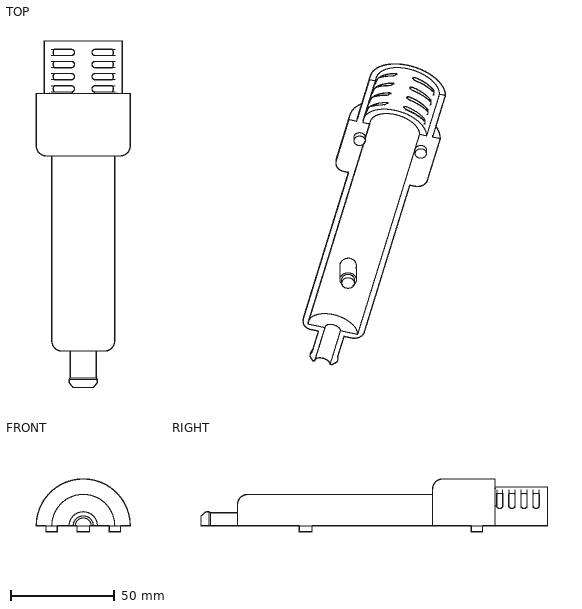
import cadquery as cq
import math


total_length = 168.2
nozzle_length = 17.7
cage_length = 25.4
cage_root = 1.7
collar_length = 30.5
barrel_front = nozzle_length
collar_rear = total_length - cage_length
collar_front = collar_rear - collar_length

nozzle_radius = 6.4
barrel_radius = 15.3
collar_radius = 22.9
cage_radius = 19.0
front_fillet = 5.0

nozzle_bore_radius = 3.9
barrel_bore_radius = 12.5
cage_bore_radius = 16.0
wall = barrel_radius - barrel_bore_radius

bead_radius = 6.9
bead_rear = 4.7
bead_crest_rear = 3.9
bead_crest_front = 2.4
bead_fillet = 1.0
tip_radius = 4.9

slot_width = 2.9
slot_fillet = 0.75
slot_pitch = 5.9
slot_count = 4
slot_rear_offset = 5.5
slot_low_angle = 32.0
slot_high_angle = 72.0
cut_margin = 1.7

peg_length = 2.9
rear_peg_diameter = 5.5
rear_peg_x = 15.3
rear_peg_y = 133.8
front_peg_diameter = 6.2
front_peg_y = 50.8
peg_root = 0.8
boss_diameter = 8.0


def half_turn(profile):
    """Sweep a closed (radius, Y) profile over the half space above the split plane."""
    return profile.close().revolve(180, (0, 0, 0), (0, -1, 0))


def half_cylinder(radius, y_start, y_end):
    return half_turn(
        cq.Workplane("XY")
        .moveTo(0, y_start)
        .lineTo(radius, y_start)
        .lineTo(radius, y_end)
        .lineTo(0, y_end)
    )


def outer_body():
    """Nozzle with its bead, rounded barrel and rounded collar."""
    cone_angle = math.atan2(bead_radius - tip_radius, bead_crest_front)
    bead_setback = bead_fillet * math.tan(cone_angle / 2)
    arc_inset = front_fillet * (1 - math.sqrt(0.5))
    return half_turn(
        cq.Workplane("XY")
        .moveTo(0, 0)
        .lineTo(tip_radius, 0)
        .lineTo(
            bead_radius - bead_setback * math.sin(cone_angle),
            bead_crest_front - bead_setback * math.cos(cone_angle),
        )
        .tangentArcPoint((bead_radius, bead_crest_front + bead_setback), relative=False)
        .lineTo(bead_radius, bead_crest_rear)
        .lineTo(nozzle_radius, bead_rear)
        .lineTo(nozzle_radius, barrel_front)
        .lineTo(barrel_radius - front_fillet, barrel_front)
        .threePointArc(
            (barrel_radius - arc_inset, barrel_front + arc_inset),
            (barrel_radius, barrel_front + front_fillet),
        )
        .lineTo(barrel_radius, collar_front)
        .lineTo(collar_radius - front_fillet, collar_front)
        .threePointArc(
            (collar_radius - arc_inset, collar_front + arc_inset),
            (collar_radius, collar_front + front_fillet),
        )
        .lineTo(collar_radius, collar_rear)
        .lineTo(0, collar_rear)
    )


def slot_cutter(y_center):
    """Round-ended slot that follows the cage wall between the two end angles."""
    inner = cage_bore_radius - cut_margin
    outer = cage_radius + cut_margin
    sweep = slot_high_angle - slot_low_angle
    cutter = (
        cq.Workplane("XY")
        .moveTo((inner + outer) / 2, y_center)
        .rect(outer - inner, slot_width)
        .revolve(sweep, (0, 0, 0), (0, -1, 0))
        .rotate((0, 0, 0), (0, 1, 0), -slot_low_angle)
    )
    for angle in (slot_low_angle, slot_high_angle):
        slot_end = (
            cq.Workplane("YZ", origin=(inner, y_center, 0))
            .circle(slot_width / 2)
            .extrude(outer - inner)
            .rotate((0, 0, 0), (0, 1, 0), -angle)
        )
        cutter = cutter.union(slot_end)
    return cutter


def slotted_cage():
    """Thin half ring with two mirrored rows of slots, rounded on their outer and inner rims."""
    cage_front = collar_rear - cage_root
    cage = half_cylinder(cage_radius, cage_front, total_length).cut(
        half_cylinder(cage_bore_radius, cage_front, total_length)
    )
    for index in range(slot_count):
        cutter = slot_cutter(total_length - slot_rear_offset - index * slot_pitch)
        cage = cage.cut(cutter).cut(cutter.mirror("YZ"))

    wall_faces = sorted(cage.faces().vals(), key=lambda face: face.Area())[-2:]
    rim_edges = [edge for face in wall_faces for rim in face.innerWires() for edge in rim.Edges()]
    return cage.newObject(rim_edges).fillet(slot_fillet)


def peg(x, y, diameter):
    """Round peg below the split plane, rooted a little inside the body."""
    return (
        cq.Workplane("XY", origin=(x, y, -peg_length))
        .circle(diameter / 2)
        .extrude(peg_length + peg_root)
    )


shell = (
    outer_body()
    .cut(half_cylinder(nozzle_bore_radius, 0, barrel_front + wall))
    .cut(half_cylinder(barrel_bore_radius, barrel_front + wall, collar_rear))
)

boss = (
    cq.Workplane("XY", origin=(0, front_peg_y, 0))
    .circle(boss_diameter / 2)
    .extrude(barrel_radius - wall / 2)
)

result = shell.union(slotted_cage()).union(boss)
result = result.union(peg(0, front_peg_y, front_peg_diameter))
for side in (-1, 1):
    result = result.union(peg(side * rear_peg_x, rear_peg_y, rear_peg_diameter))